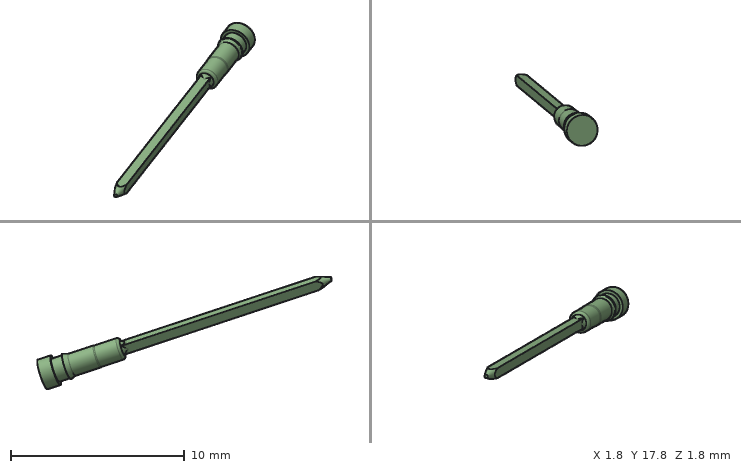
import cadquery as cq
import math

length = 17.8
back = length / 2

head_radius = 0.9
neck_radius = 0.71
lip_radius = 0.78
barrel_radius = 0.68
sleeve_radius = 0.65
shaft_width = 0.6
shaft_half = shaft_width / 2
tip_radius = 0.1

head_end = 0.8
lip_start = 1.48
lip_end = 1.8
step_start = 3.35
step_end = 3.42
shoulder_start = 4.75
shoulder_round = 0.18
root_end = 5.25
cone_length_to_flats = 0.53


def at(radius, distance):
    """Point of a turned outline, at a radius and a distance from the back face."""
    return (radius, back - distance)


def arc_point(center_radius, center_distance, size, angle):
    """Point on an arc; zero degrees is outward, ninety is towards the tip."""
    turn = math.radians(angle)
    return at(center_radius + size * math.cos(turn), center_distance + size * math.sin(turn))


def turn_outline(outline):
    return outline.close().revolve(360, (0, 0, 0), (0, 1, 0))


def make_body():
    """Head, neck, flared lip and barrel, blending into the square shaft."""
    round_radius = sleeve_radius - shoulder_round
    shoulder_end = shoulder_start + shoulder_round
    root_drop = round_radius - shaft_half
    root_length = root_end - shoulder_end
    root_size = (root_drop**2 + root_length**2) / (2 * root_drop)
    root_angle = math.degrees(2 * math.atan2(root_drop, root_length))
    outline = (
        cq.Workplane("XY")
        .moveTo(*at(0, 0))
        .lineTo(*at(head_radius, 0))
        .lineTo(*at(head_radius, head_end))
        .lineTo(*at(neck_radius, head_end))
        .lineTo(*at(neck_radius, lip_start))
        .lineTo(*at(lip_radius, lip_start))
        .lineTo(*at(barrel_radius, lip_end))
        .lineTo(*at(barrel_radius, step_start))
        .lineTo(*at(sleeve_radius, step_end))
        .lineTo(*at(sleeve_radius, shoulder_start))
        .threePointArc(
            arc_point(round_radius, shoulder_start, shoulder_round, 45),
            at(round_radius, shoulder_end),
        )
        .threePointArc(
            arc_point(shaft_half + root_size, root_end, root_size, 180 + root_angle / 2),
            at(shaft_half, root_end),
        )
        .lineTo(*at(0, root_end))
    )
    return turn_outline(outline)


def make_shaft():
    """Square shaft whose end is turned to a blunt cone."""
    shaft_length = length - shoulder_start
    shaft = cq.Workplane("XY").box(shaft_width, shaft_length, shaft_width)
    shaft = shaft.translate((0, shaft_length / 2 - back, 0))
    cone_slope = (shaft_half - tip_radius) / cone_length_to_flats
    envelope_radius = shaft_width
    cone_start = length - (envelope_radius - tip_radius) / cone_slope
    envelope = (
        cq.Workplane("XY")
        .moveTo(*at(0, shoulder_start))
        .lineTo(*at(envelope_radius, shoulder_start))
        .lineTo(*at(envelope_radius, cone_start))
        .lineTo(*at(tip_radius, length))
        .lineTo(*at(0, length))
    )
    return shaft.intersect(turn_outline(envelope))


result = make_body().union(make_shaft())